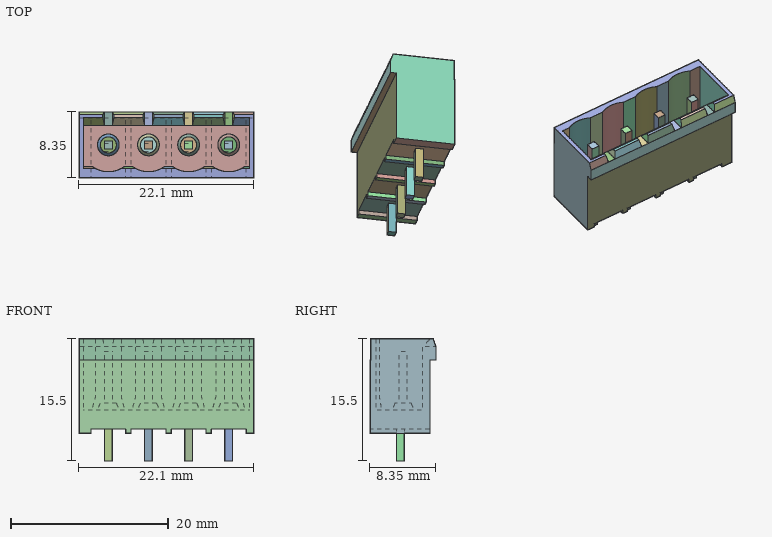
import cadquery as cq
import math


pole_count = 4
pitch = 5.08
first_pole_offset = 3.70

length = 22.14
overall_depth = 8.35
housing_height = 12.0
front_y = -overall_depth / 2
back_y = overall_depth / 2
left_x = -length / 2

band_bottom_z = 9.3
front_step = 0.07
latch_overhang = 0.75
latch_chamfer_depth = 0.35
latch_chamfer_height = 1.0

end_wall = 0.54
cavity_floor_z = 3.0
cavity_front_y = -2.98
cavity_back_y = 2.48
front_foot_depth = 0.27
front_foot_height = 1.6
front_foot_y = cavity_front_y + front_foot_depth
back_ramp_depth = 0.98
back_ramp_height = 1.0
scallop_radius = 3.4

notch_floor_width = 1.0
notch_top_width = 1.42
notch_floor_z = housing_height - back_ramp_height

recess_width = 4.38
recess_height = 0.55

pin_width = 1.02
mating_pin_top_z = 10.4
solder_pin_y = -0.335
solder_pin_bottom_z = -3.5
collar_base_radius = 1.38
collar_top_radius = 1.02
collar_height = 0.85

pole_xs = [left_x + first_pole_offset + i * pitch for i in range(pole_count)]


def extrude_along_x(points, x_start, x_length):
    """Prism along X from an outline given as (y, z) points."""
    return cq.Workplane("YZ", origin=(x_start, 0, 0)).polyline(points).close().extrude(x_length)


def extrude_along_y(points, y_start, y_end):
    """Prism along Y from an outline given as (x, z) points."""
    plane = cq.Workplane("XZ", origin=(0, y_start, 0))
    return plane.polyline(points).close().extrude(y_start - y_end)


def upright_block(x, y, width, z_bottom, z_top):
    """Square bar centred on (x, y)."""
    return cq.Workplane("XY", origin=(x, y, z_bottom)).rect(width, width).extrude(z_top - z_bottom)


def make_housing():
    lower_back_y = back_y - latch_overhang
    profile = [
        (front_y, 0),
        (lower_back_y, 0),
        (lower_back_y, band_bottom_z),
        (back_y, band_bottom_z),
        (back_y, housing_height - latch_chamfer_height),
        (back_y - latch_chamfer_depth, housing_height),
        (front_y + front_step, housing_height),
        (front_y + front_step, band_bottom_z),
        (front_y, band_bottom_z),
    ]
    return extrude_along_x(profile, left_x, length)


def make_cavity():
    """Plug space with a ramped rear wall and a front wall that thickens towards the floor."""
    profile = [
        (front_foot_y, cavity_floor_z),
        (cavity_back_y, cavity_floor_z),
        (cavity_back_y, housing_height - back_ramp_height),
        (cavity_back_y + back_ramp_depth, housing_height),
        (cavity_front_y, housing_height),
        (cavity_front_y, cavity_floor_z + front_foot_height),
    ]
    return extrude_along_x(profile, left_x + end_wall, length - 2 * end_wall)


def make_scallop(x):
    """Round clearance about a pole, cut into the front wall and its foot."""
    half_chord = math.sqrt(scallop_radius**2 - front_foot_y**2)
    return (
        cq.Workplane("XY", origin=(x, 0, cavity_floor_z))
        .moveTo(-half_chord, front_foot_y)
        .threePointArc((0, -scallop_radius), (half_chord, front_foot_y))
        .close()
        .extrude(housing_height - cavity_floor_z)
    )


def make_coding_notch(x):
    """Slot through the rear wall with flared sides."""
    outline = [
        (x - notch_floor_width / 2, notch_floor_z),
        (x + notch_floor_width / 2, notch_floor_z),
        (x + notch_top_width / 2, housing_height),
        (x - notch_top_width / 2, housing_height),
    ]
    return extrude_along_y(outline, cavity_back_y, back_y)


def make_base_recess(x):
    """Recess across the full depth of the underside, leaving stand-off ribs beside it."""
    return (
        cq.Workplane("XY", origin=(x, 0, 0))
        .rect(recess_width, overall_depth)
        .extrude(recess_height)
    )


def make_collar(x):
    cone = cq.Solid.makeCone(
        collar_base_radius, collar_top_radius, collar_height, pnt=cq.Vector(x, 0, cavity_floor_z)
    )
    return cq.Workplane(cone)


def make_mating_pin(x):
    return upright_block(x, 0, pin_width, cavity_floor_z, mating_pin_top_z)


def make_solder_pin(x):
    """Tail below the housing, set towards the front of the mating pin."""
    return upright_block(x, solder_pin_y, pin_width, solder_pin_bottom_z, recess_height)


result = make_housing().cut(make_cavity())
for pole_x in pole_xs:
    result = result.cut(make_scallop(pole_x))
    result = result.cut(make_coding_notch(pole_x))
    result = result.cut(make_base_recess(pole_x))
for pole_x in pole_xs:
    result = result.union(make_collar(pole_x))
    result = result.union(make_mating_pin(pole_x))
    result = result.union(make_solder_pin(pole_x))